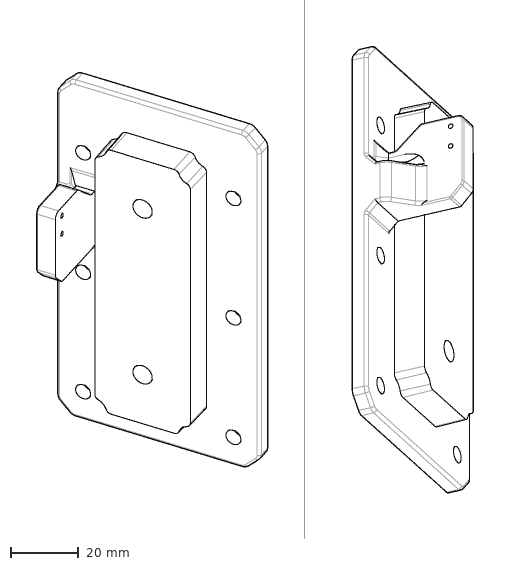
import cadquery as cq
import math

TOLERANCE = 0.01

plate_width = 68.1
plate_height = 121.6
plate_thickness = 5.0
plate_corner_cut = 5.0
plate_corner_radius = 2.8
rim_radius = 1.0
edge_x = -plate_width / 2

pad_width = 32.3
pad_height = 96.0
pad_depth = 10.0
pad_scoop_radius = 4.0
pad_corner_radius = 2.0
pad_draft = 1.0

screw_diameter = 5.0
screw_x = 25.2
screw_top_z = 35.9
screw_pitch = 43.3
screw_rows = 3
pad_hole_diameter = 6.5
pad_hole_z = 30.0
pin_diameter = 1.5
pin_y = -28.7
pin_heights = (29.7, 23.1)

fin_left = edge_x + 7.9
fin_thickness = 6.5
fin_right = fin_left + fin_thickness
fin_reach = 33.0
fin_bottom = 5.8
fin_top = 32.8
fin_low_cut = 4.1
fin_neck_top = 25.7
fin_slope_start = 10.3
fin_slope_end = 18.7
fin_corner_radius = 2.0
fin_low_radius = 1.0
fin_edge_radius = 0.5

web_top = 19.3
web_knee = 11.1
web_end = web_knee + fin_left - edge_x
web_radius = 4.5

ridge_top = web_top + web_radius
ridge_fade_start = 13.1
ridge_fade_end = 20.0

foot_flare = 3.0
foot_depth = plate_thickness + foot_flare


def near(a, b):
    return abs(a - b) < TOLERANCE


def edges_where(solid, test):
    """Edges whose middle point passes the test."""
    return solid.newObject([edge for edge in solid.edges().vals() if test(edge.positionAt(0.5))])


def edges_at(solid, x, y, z):
    """Edges whose middle point is (x, y, z)."""
    return edges_where(solid, lambda p: near(p.x, x) and near(p.y, y) and near(p.z, z))


def make_plate():
    plate = cq.Workplane("XZ").rect(plate_width, plate_height).extrude(plate_thickness)
    plate = plate.edges("|Y").chamfer(plate_corner_cut)
    return plate.edges("|Y").fillet(plate_corner_radius)


def make_pad():
    outline = cq.Sketch().rect(pad_width, pad_height)
    outline = outline.vertices().circle(pad_scoop_radius, mode="s").reset()
    outline = outline.vertices().fillet(pad_corner_radius)
    return (
        cq.Workplane("XZ", origin=(0, -plate_thickness, 0))
        .placeSketch(outline)
        .extrude(pad_depth, taper=pad_draft)
    )


def make_fin():
    fin = (
        cq.Workplane("YZ", origin=(fin_left, 0, 0))
        .moveTo(-plate_thickness, fin_bottom)
        .lineTo(fin_low_cut - fin_reach, fin_bottom)
        .lineTo(-fin_reach, fin_bottom + fin_low_cut)
        .lineTo(-fin_reach, fin_top)
        .lineTo(-fin_slope_end, fin_top)
        .lineTo(-fin_slope_start, fin_neck_top)
        .lineTo(-plate_thickness, fin_neck_top)
        .close()
        .extrude(fin_thickness)
    )
    fin_middle_x = (fin_left + fin_right) / 2
    low_corner = edges_at(fin, fin_middle_x, fin_low_cut - fin_reach, fin_bottom)
    fin = low_corner.fillet(fin_low_radius)
    rounded_corners = (
        (-fin_reach, fin_bottom + fin_low_cut),
        (-fin_reach, fin_top),
        (-fin_slope_end, fin_top),
        (-fin_slope_start, fin_neck_top),
    )
    for y, z in rounded_corners:
        fin = edges_at(fin, fin_middle_x, y, z).fillet(fin_corner_radius)

    def on_left_outline(p):
        return near(p.x, fin_left) and not near(p.y, -plate_thickness)

    return edges_where(fin, on_left_outline).fillet(fin_edge_radius)


def make_web_prism(inset, top):
    """Upright prism under the web outline, its outer wall moved inwards by inset."""
    slant_shift = inset * math.sqrt(2)
    side_x = edge_x + inset
    knee_y = slant_shift - inset - web_knee
    end_y = slant_shift - web_end
    overrun_y = end_y - web_radius
    prism = (
        cq.Workplane("XY", origin=(0, 0, fin_bottom))
        .moveTo(side_x, -plate_thickness)
        .lineTo(side_x, knee_y)
        .lineTo(fin_left, end_y)
        .lineTo(fin_left, overrun_y)
        .lineTo(fin_right, overrun_y)
        .lineTo(fin_right, -plate_thickness)
        .close()
        .extrude(top - fin_bottom)
    )
    middle_z = (fin_bottom + top) / 2
    prism = edges_at(prism, side_x, knee_y, middle_z).fillet(web_radius - inset)
    return edges_at(prism, fin_left, end_y, middle_z).fillet(web_radius + inset)


def make_foot():
    """Flared foot, tapering from the plate to the bracket outline."""
    overhang = 2 * foot_flare
    outer_x = edge_x - overhang
    inner_x = fin_right + overhang
    left_x = fin_left - foot_flare
    low_z = fin_bottom - foot_flare
    shelf_z = web_top + foot_flare
    high_z = fin_neck_top + foot_flare
    inner_radius = web_radius - foot_flare
    foot = (
        cq.Workplane("XZ", origin=(0, -plate_thickness, 0))
        .moveTo(outer_x, low_z)
        .lineTo(inner_x, low_z)
        .lineTo(inner_x, high_z)
        .lineTo(left_x, high_z)
        .lineTo(left_x, shelf_z + inner_radius)
        .radiusArc((left_x - inner_radius, shelf_z), inner_radius)
        .lineTo(outer_x, shelf_z)
        .close()
        .extrude(foot_flare, taper=45)
    )
    limits = cq.Workplane("XY", origin=(edge_x, -foot_depth, -plate_height / 2)).box(
        fin_right - edge_x, foot_flare, plate_height, centered=False
    )
    return foot.intersect(limits)


def make_ridge():
    """Concave blend between the web top and the fin, fading out along an ellipse."""
    blend = (
        cq.Workplane("XZ")
        .moveTo(fin_left - web_radius, web_top)
        .radiusArc((fin_left, ridge_top), -web_radius)
        .lineTo(fin_right, ridge_top)
        .lineTo(fin_right, web_top)
        .close()
        .extrude(fin_reach)
    )
    fade_length = ridge_fade_end - ridge_fade_start
    bracket_width = fin_right - edge_x
    fade = (
        cq.Workplane("YZ", origin=(edge_x, -ridge_fade_start, web_top))
        .ellipse(fade_length, web_radius)
        .extrude(bracket_width)
    )
    straight = cq.Workplane("XY", origin=(edge_x, -ridge_fade_start, web_top)).box(
        bracket_width, ridge_fade_start - plate_thickness, web_radius, centered=False
    )
    envelope = fade.union(straight)
    return make_web_prism(rim_radius, ridge_top).intersect(blend).intersect(envelope)


def round_outer_edges(body):
    """Round the plate rim, the bracket edges that continue it, and the inner corner of the foot."""

    def is_rounded(p):
        on_plate_front = near(p.y, -plate_thickness)
        at_plate_end = abs(p.z) > plate_height / 2 - plate_corner_cut - plate_corner_radius
        on_rim = on_plate_front and (near(abs(p.x), plate_width / 2) or at_plate_end)
        on_foot_outline = on_plate_front and p.x < fin_right - TOLERANCE
        on_ramp = near(p.x, edge_x) and -foot_depth < p.y < -plate_thickness
        at_web_level = near(p.z, web_top) or near(p.z, fin_bottom)
        on_web = at_web_level and p.y < -foot_depth - TOLERANCE and p.x < fin_left + TOLERANCE
        return on_rim or on_foot_outline or on_ramp or on_web

    return edges_where(body, is_rounded).fillet(rim_radius)


def cut_holes(body):
    screw_points = [
        (side * screw_x, screw_top_z - row * screw_pitch) for side in (-1, 1) for row in range(screw_rows)
    ]
    pad_points = [(0, pad_hole_z), (0, -pad_hole_z)]
    pin_points = [(pin_y, z) for z in pin_heights]
    front_holes = ((screw_points, screw_diameter), (pad_points, pad_hole_diameter))
    for points, diameter in front_holes:
        drill = cq.Workplane("XZ").pushPoints(points).circle(diameter / 2).extrude(plate_thickness + pad_depth)
        body = body.cut(drill)
    pins = (
        cq.Workplane("YZ", origin=(fin_left, 0, 0))
        .pushPoints(pin_points)
        .circle(pin_diameter / 2)
        .extrude(fin_thickness)
    )
    return body.cut(pins)


body = make_plate().union(make_web_prism(0, web_top)).union(make_foot()).clean()
body = round_outer_edges(body)
body = body.union(make_fin()).union(make_ridge()).union(make_pad())
result = cut_holes(body)